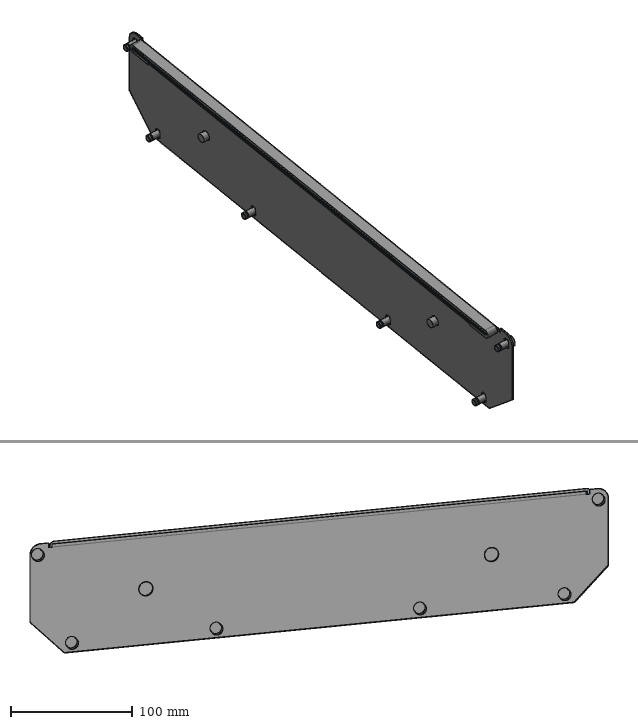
import cadquery as cq
import math

LENGTH = 498.0
HALF_LENGTH = LENGTH / 2
THICKNESS = 1.5
PANEL_BACK_Y = 5.0
PANEL_FRONT_Y = PANEL_BACK_Y - THICKNESS
PANEL_BOTTOM_Z = -50.0
PANEL_TOP_Z = 47.5
LOWER_CUT = 29.5
EAR_WIDTH = 16.0
EAR_RADIUS = 9.0
RELIEF_GAP = 3.0
BEND_RADIUS = 4.0

BAR_LENGTH = 466.0
BAR_FRONT_Y = -9.0
BAR_BACK_Y = 1.0
BAR_TOP_Z = 50.0
BAR_HEIGHT = 8.0
BAR_MIDDLE_Z = BAR_TOP_Z - BAR_HEIGHT / 2
FOOT_LENGTH = 24.0
FOOT_HEIGHT = 1.5
GROOVE_HEIGHT = 2.5
GROOVE_DEPTH = 1.0
GROOVE_END_WALL = 3.0

UPPER_PIN_X = 241.5
UPPER_PIN_Z = 37.0
LOWER_PIN_Z = UPPER_PIN_Z - 79.5
LOWER_PIN_OUTER_X = 212.0
LOWER_PIN_INNER_X = 87.5
PIN_HEAD_RADIUS = 5.0
PIN_HEAD_BACK_Y = 9.0
PIN_RADIUS = 3.0
PIN_TIP_Y = -7.0
PIN_TIP_LENGTH = 2.5
PIN_TIP_CHAMFER = 0.5
NECK_RADIUS = 2.0
NECK_LENGTH = 1.0
PIN_SLOT_HEIGHT = 10.0

STUD_X = 149.0
STUD_Z = -1.5
STUD_RADIUS = 4.0
STUD_FRONT_Y = -2.0
STUD_HOLE_RADIUS = 4.5
STUD_HEAD_RADIUS = 6.0
STUD_HEAD_HEIGHT = 1.5

pin_places = [(side * UPPER_PIN_X, UPPER_PIN_Z) for side in (-1, 1)]
pin_places += [
    (side * x, LOWER_PIN_Z) for side in (-1, 1) for x in (LOWER_PIN_OUTER_X, LOWER_PIN_INNER_X)
]
stud_places = [(side * STUD_X, STUD_Z) for side in (-1, 1)]


def rod(x, z, radius, back_y, front_y):
    """Round rod along Y, from back_y forward to front_y."""
    return cq.Workplane("XZ", origin=(x, back_y, z)).circle(radius).extrude(back_y - front_y)


def make_plate():
    """Flat plate with cut lower corners and, at the top, two rounded ears beside the flange."""
    plate = (
        cq.Workplane("XZ", origin=(0, PANEL_BACK_Y, 0))
        .moveTo(-HALF_LENGTH, PANEL_TOP_Z)
        .lineTo(HALF_LENGTH, PANEL_TOP_Z)
        .lineTo(HALF_LENGTH, PANEL_BOTTOM_Z + LOWER_CUT)
        .lineTo(HALF_LENGTH - LOWER_CUT, PANEL_BOTTOM_Z)
        .lineTo(-HALF_LENGTH + LOWER_CUT, PANEL_BOTTOM_Z)
        .lineTo(-HALF_LENGTH, PANEL_BOTTOM_Z + LOWER_CUT)
        .close()
        .extrude(THICKNESS)
        .edges("|Y and >Z")
        .fillet(EAR_RADIUS)
    )
    between_ears = (
        cq.Workplane("XZ", origin=(0, PANEL_BACK_Y, PANEL_TOP_Z))
        .rect(LENGTH - 2 * EAR_WIDTH, 2 * BEND_RADIUS)
        .extrude(THICKNESS)
    )
    return plate.cut(between_ears)


def make_flange():
    """Quarter bend from the top of the plate forward to the back of the bar."""
    flange_length = LENGTH - 2 * (EAR_WIDTH + RELIEF_GAP)
    axis_y = PANEL_BACK_Y - BEND_RADIUS
    axis_z = PANEL_TOP_Z - BEND_RADIUS
    inner_radius = BEND_RADIUS - THICKNESS
    outer_step = BEND_RADIUS * math.sqrt(0.5)
    inner_step = inner_radius * math.sqrt(0.5)
    return (
        cq.Workplane("YZ", origin=(-flange_length / 2, 0, 0))
        .moveTo(PANEL_BACK_Y, axis_z)
        .threePointArc((axis_y + outer_step, axis_z + outer_step), (axis_y, PANEL_TOP_Z))
        .lineTo(axis_y, PANEL_TOP_Z - THICKNESS)
        .threePointArc((axis_y + inner_step, axis_z + inner_step), (PANEL_FRONT_Y, axis_z))
        .close()
        .extrude(flange_length)
    )


def make_panel():
    pin_slots = (
        cq.Workplane("XZ", origin=(0, PANEL_BACK_Y, 0))
        .pushPoints(pin_places)
        .slot2D(PIN_SLOT_HEIGHT, 2 * PIN_RADIUS, 90)
        .extrude(THICKNESS)
    )
    stud_holes = (
        cq.Workplane("XZ", origin=(0, PANEL_BACK_Y, 0))
        .pushPoints(stud_places)
        .circle(STUD_HOLE_RADIUS)
        .extrude(THICKNESS)
    )
    return make_plate().union(make_flange()).cut(pin_slots).cut(stud_holes)


def make_bar():
    """Round-ended bar with a groove along its front and a raised underside between its feet."""
    body = (
        cq.Workplane("XZ", origin=(0, BAR_BACK_Y, BAR_MIDDLE_Z))
        .slot2D(BAR_LENGTH, BAR_HEIGHT)
        .extrude(BAR_BACK_Y - BAR_FRONT_Y)
    )
    groove = (
        cq.Workplane("XZ", origin=(0, BAR_FRONT_Y + GROOVE_DEPTH, BAR_MIDDLE_Z))
        .slot2D(BAR_LENGTH - 2 * GROOVE_END_WALL, GROOVE_HEIGHT)
        .extrude(GROOVE_DEPTH)
    )
    between_feet = (
        cq.Workplane("XZ", origin=(0, BAR_BACK_Y, BAR_TOP_Z - BAR_HEIGHT))
        .rect(BAR_LENGTH - 2 * FOOT_LENGTH, 2 * FOOT_HEIGHT)
        .extrude(BAR_BACK_Y - BAR_FRONT_Y)
    )
    return body.cut(groove).cut(between_feet)


def make_pin(x, z):
    """Headed pin with a neck behind its chamfered tip."""
    neck_front_y = PIN_TIP_Y + PIN_TIP_LENGTH
    neck_back_y = neck_front_y + NECK_LENGTH
    head = rod(x, z, PIN_HEAD_RADIUS, PIN_HEAD_BACK_Y, PANEL_BACK_Y)
    shank = rod(x, z, PIN_RADIUS, PANEL_BACK_Y, neck_back_y)
    neck = rod(x, z, NECK_RADIUS, neck_back_y, neck_front_y)
    tip = rod(x, z, PIN_RADIUS, neck_front_y, PIN_TIP_Y).faces("<Y").chamfer(PIN_TIP_CHAMFER)
    return head.union(shank).union(neck).union(tip)


def make_stud(x, z):
    """Round stud whose wider head lies against the back of the panel."""
    head = rod(x, z, STUD_HEAD_RADIUS, PANEL_BACK_Y + STUD_HEAD_HEIGHT, PANEL_BACK_Y)
    shank = rod(x, z, STUD_RADIUS, PANEL_BACK_Y, STUD_FRONT_Y)
    return head.union(shank)


panel = make_panel()
bar = make_bar()
pins = [make_pin(x, z) for x, z in pin_places]
studs = [make_stud(x, z) for x, z in stud_places]

result = cq.Compound.makeCompound(
    [panel.val(), bar.val(), *[pin.val() for pin in pins], *[stud.val() for stud in studs]]
)